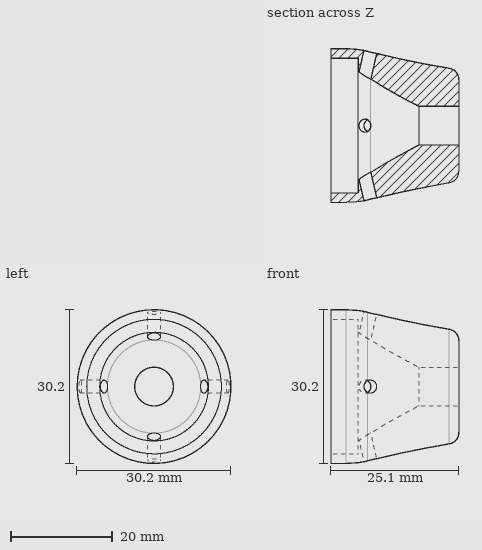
import cadquery as cq
import math

outer_radius = 15.1
length = 25.12

rim_length = 2.93
shoulder_x = 7.2
shoulder_radius = 14.63
skin_mid_x = 15.1
skin_mid_radius = 12.8
nose_x = 23.2
nose_radius = 11.28
nose_bulge_x = 24.58
nose_bulge_radius = 10.5
end_radius = 8.98

bore_radius = 13.2
bore_depth = 5.32
funnel_radius = 10.67
cone_end_x = 7.75
cone_end_radius = 9.15
funnel_mid_x = 12.4
funnel_mid_radius = 6.35
throat_start_x = 17.23
throat_radius = 3.78

hole_count = 4
hole_diameter = 2.55
hole_centre_x = 7.7
hole_centre_radius = 14.4
hole_tilt = 13.0
hole_overrun = 1.5
hole_cut_length = 7.55


def make_body():
    profile = (
        cq.Workplane("XY")
        .moveTo(bore_depth, bore_radius)
        .lineTo(0, bore_radius)
        .lineTo(0, outer_radius)
        .lineTo(rim_length, outer_radius)
        .tangentArcPoint((shoulder_x, shoulder_radius), relative=False)
        .threePointArc((skin_mid_x, skin_mid_radius), (nose_x, nose_radius))
        .threePointArc((nose_bulge_x, nose_bulge_radius), (length, end_radius))
        .lineTo(length, throat_radius)
        .lineTo(throat_start_x, throat_radius)
        .threePointArc((funnel_mid_x, funnel_mid_radius), (cone_end_x, cone_end_radius))
        .lineTo(bore_depth, funnel_radius)
    )
    return profile.close().revolve(360, (0, 0, 0), (1, 0, 0))


def make_hole(angle):
    tilt = math.radians(hole_tilt)
    inward = cq.Vector(-math.sin(tilt), 0, -math.cos(tilt))
    skin_point = cq.Vector(hole_centre_x, 0, hole_centre_radius)
    cutter = cq.Solid.makeCylinder(
        hole_diameter / 2,
        hole_overrun + hole_cut_length,
        skin_point - inward * hole_overrun,
        inward,
    )
    return cq.Workplane(cutter).rotate((0, 0, 0), (1, 0, 0), angle)


result = make_body()
for index in range(hole_count):
    result = result.cut(make_hole(index * 360 / hole_count))